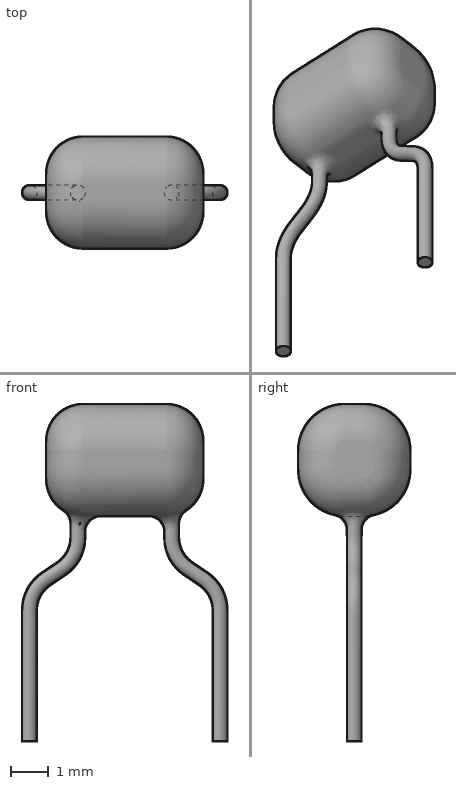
import cadquery as cq
import math

body_length = 4.2
body_thickness = 3.0
long_edge_radius = 1.25
end_edge_radius = 1.0

wire_diameter = 0.4
lead_pitch = 5.08
root_pitch = 2.5
lead_drop = 6.0
tip_length = 3.5
bend_radius = 1.0
bend_angle = math.radians(56)
root_embed = 0.8
root_fillet_radius = 0.4


def bend_offset(angle):
    """Sideways and upward travel along one bend after turning by the angle."""
    return bend_radius * (1 - math.cos(angle)), bend_radius * math.sin(angle)


def make_body():
    block = cq.Workplane("XY").box(
        body_length, body_thickness, body_thickness, centered=(True, True, False)
    )
    rounded = block.edges("|X").fillet(long_edge_radius)
    return rounded.faces("<X or >X").edges().fillet(end_edge_radius)


def make_lead():
    """Lead on the +X side, swept from its tip up into the body."""
    tip_x = lead_pitch / 2
    root_x = root_pitch / 2
    tip_z = -lead_drop
    lower_bend_z = tip_z + tip_length

    bend_in, bend_up = bend_offset(bend_angle)
    half_in, half_up = bend_offset(bend_angle / 2)
    slope_in = tip_x - root_x - 2 * bend_in
    slope_up = slope_in / math.tan(bend_angle)
    upper_bend_z = lower_bend_z + 2 * bend_up + slope_up

    path = (
        cq.Workplane("XZ")
        .moveTo(tip_x, tip_z)
        .lineTo(tip_x, lower_bend_z)
        .threePointArc(
            (tip_x - half_in, lower_bend_z + half_up),
            (tip_x - bend_in, lower_bend_z + bend_up),
        )
        .lineTo(root_x + bend_in, upper_bend_z - bend_up)
        .threePointArc(
            (root_x + half_in, upper_bend_z - half_up),
            (root_x, upper_bend_z),
        )
        .lineTo(root_x, root_embed)
    )
    tip = cq.Workplane("XY", origin=(tip_x, 0, tip_z))
    return tip.circle(wire_diameter / 2).sweep(path)


def fillet_lead_roots(part):
    """Round the edges where the wires meet the underside of the body."""
    reach = wire_diameter
    root_zone = cq.selectors.BoxSelector(
        (-root_pitch / 2 - reach, -reach, -reach / 2),
        (root_pitch / 2 + reach, reach, reach / 2),
        boundingbox=True,
    )
    return part.edges(root_zone).edges("not(|X or |Y)").fillet(root_fillet_radius)


lead = make_lead()
part = make_body().union(lead).union(lead.mirror("YZ"))
result = fillet_lead_roots(part)